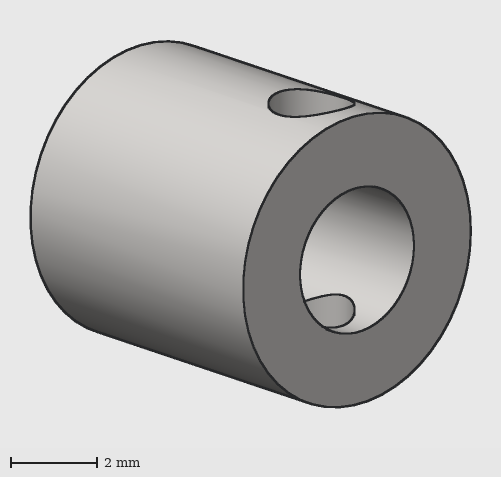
import cadquery as cq

length = 7.5
outer_diameter = 7.0
bore_diameter = outer_diameter / 2

cross_hole_diameter = 2.0
cross_hole_from_left_end = 5.895

sleeve = (
    cq.Workplane("YZ")
    .circle(outer_diameter / 2)
    .circle(bore_diameter / 2)
    .extrude(length)
)

cross_hole = (
    cq.Workplane("XY")
    .center(cross_hole_from_left_end, 0)
    .circle(cross_hole_diameter / 2)
    .extrude(outer_diameter, both=True)
)

result = sleeve.cut(cross_hole)